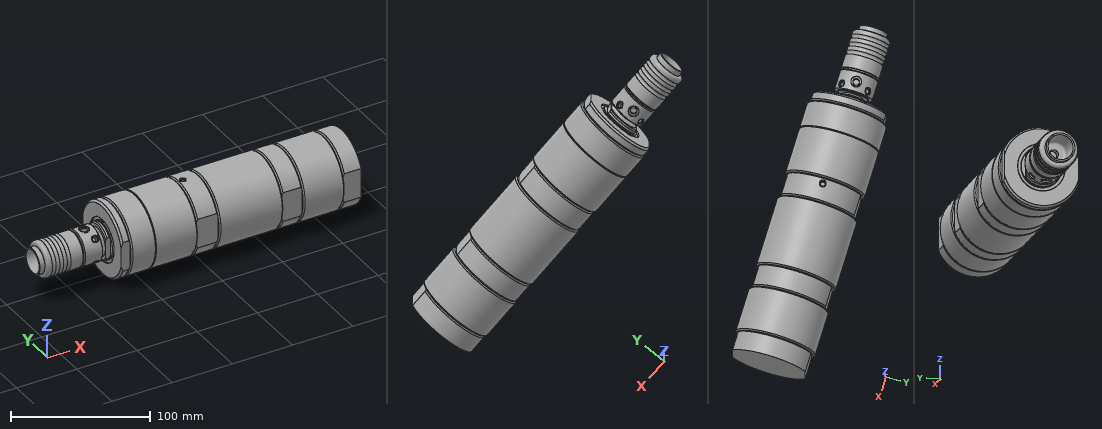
import cadquery as cq

total_length = 257.0

nose_diameter = 21.0
nose_length = 4.0
sleeve_diameter = 28.5
sleeve_end = 49.9
sleeve_front_round = 2.0
grip_groove_start = 8.2
grip_groove_width = 3.0
grip_groove_depth = 0.8
grip_groove_pitch = 2 * grip_groove_width
grip_groove_count = 3
relief_start = 33.7
relief_width = 1.3
relief_depth = 1.5
relief_chamfer = 0.8
shoulder_diameter = 23.1
shoulder_length = 0.8
neck_diameter = 15.0
neck_length = 1.3
cone_end_diameter = 23.1
socket_diameter = 18.5
socket_floor_diameter = 14.0
socket_depth = 20.5
contact_hole_diameter = 6.7
contact_hole_depth = 5.1

collar_start = 53.7
collar_diameter = 30.0
collar_chamfer = 1.0
collar_across_flats = 24.0
recess_diameter = 35.0
recess_depth = 1.3

body_start = 57.5
body_diameter = 60.0
across_flats = 54.7
front_chamfer = 1.5
edge_chamfer = 1.0
barrels = [(65.0, 120.0), (138.0, 191.0), (208.0, 241.8)]
seam_position = 85.0
seam_width = 0.8
seam_depth = 0.3

sleeve_port_position = 42.7
sleeve_port_diameters = (7.7, 5.0)
sleeve_screw_position = 46.3
sleeve_screw_diameters = (5.5, 3.5)
body_port_position = 124.6
body_port_diameters = (5.0, 3.5)
counterbore_depth = 1.3
hole_depth = 4.0

clearance = 2.5


def disc(start, end, diameter):
    """Cylinder on the X axis from start to end."""
    return cq.Workplane("YZ").workplane(offset=start).circle(diameter / 2).extrude(end - start)


def trim_flats(body, width):
    """Trim a body to two flats facing -Y and +Y, the given width apart."""
    return body.intersect(cq.Workplane("XY").box(2 * total_length + 2 * clearance, width, 2 * body_diameter))


def ring_cut(start, width, diameter, depth):
    """Square-sided groove tool around a cylinder of the given diameter."""
    return disc(start, start + width, diameter + clearance).cut(disc(start, start + width, diameter - 2 * depth))


def make_connector():
    """Ribbed coupling sleeve with its nose, neck and cone, as one turned outline."""
    nose_radius = nose_diameter / 2
    radius = sleeve_diameter / 2
    relief_radius = radius - relief_depth
    relief_end = relief_start + relief_width
    shoulder_end = sleeve_end + shoulder_length
    neck_end = shoulder_end + neck_length

    outline = (
        cq.Workplane("XY")
        .lineTo(0, nose_radius)
        .lineTo(nose_length, nose_radius)
        .lineTo(nose_length, radius - sleeve_front_round)
        .radiusArc((nose_length + sleeve_front_round, radius), sleeve_front_round)
    )
    for index in range(grip_groove_count):
        start = grip_groove_start + index * grip_groove_pitch
        outline = outline.lineTo(start, radius).threePointArc(
            (start + grip_groove_width / 2, radius - grip_groove_depth),
            (start + grip_groove_width, radius),
        )
    outline = (
        outline.lineTo(relief_start, radius)
        .lineTo(relief_start, relief_radius)
        .lineTo(relief_end, relief_radius)
        .lineTo(relief_end, radius - relief_chamfer)
        .lineTo(relief_end + relief_chamfer, radius)
        .lineTo(sleeve_end, radius)
        .lineTo(sleeve_end, shoulder_diameter / 2)
        .lineTo(shoulder_end, shoulder_diameter / 2)
        .lineTo(shoulder_end, neck_diameter / 2)
        .lineTo(neck_end, neck_diameter / 2)
        .lineTo(collar_start, cone_end_diameter / 2)
        .lineTo(collar_start, 0)
        .close()
    )
    return outline.revolve(360, (0, 0, 0), (1, 0, 0))


def make_socket():
    """Bore in the connector tip, with a rounded floor and a central contact hole."""
    floor_round = (socket_diameter - socket_floor_diameter) / 2
    bore = disc(0, socket_depth, socket_diameter).faces(">X").edges().fillet(floor_round)
    return bore.union(disc(0, socket_depth + contact_hole_depth, contact_hole_diameter))


def make_collar():
    """Flatted collar in front of the body on a round hub that stands in the body recess."""
    collar = disc(collar_start, body_start, collar_diameter).faces("<X or >X").chamfer(collar_chamfer)
    hub = disc(body_start, body_start + recess_depth, collar_diameter)
    return trim_flats(collar, collar_across_flats).union(hub)


def make_body():
    """Alternating flatted rings and round barrels, with a fine seam and a recess in the front face."""
    ring_starts = [body_start] + [end for _, end in barrels]
    ring_ends = [start for start, _ in barrels] + [total_length]
    body = cq.Workplane("YZ")
    for start, end in zip(ring_starts, ring_ends):
        ring = disc(start, end, body_diameter)
        ring = ring.faces("<X").chamfer(front_chamfer if start == body_start else edge_chamfer)
        if end != total_length:
            ring = ring.faces(">X").chamfer(edge_chamfer)
        body = body.union(trim_flats(ring, across_flats))
    for start, end in barrels:
        body = body.union(disc(start, end, body_diameter).faces("<X or >X").chamfer(edge_chamfer))
    body = body.cut(ring_cut(seam_position - seam_width / 2, seam_width, body_diameter, seam_depth))
    return body.cut(disc(body_start, body_start + recess_depth, recess_diameter))


def radial_hole(position, surface_diameter, diameters, angle):
    """Stepped blind hole tool; the angle is turned about X from +Z."""
    surface = surface_diameter / 2
    tool = cq.Workplane("XY")
    for diameter, depth in zip(diameters, (counterbore_depth, hole_depth)):
        floor = cq.Workplane("XY").workplane(offset=surface - depth).center(position, 0)
        tool = tool.union(floor.circle(diameter / 2).extrude(clearance + depth))
    return tool.rotate((0, 0, 0), (1, 0, 0), angle)


result = make_body().union(make_collar()).union(make_connector()).cut(make_socket())

for angle in (0, 180):
    result = result.cut(radial_hole(sleeve_port_position, sleeve_diameter, sleeve_port_diameters, angle))
for angle in (45, 135, 225, 315):
    result = result.cut(radial_hole(sleeve_screw_position, sleeve_diameter, sleeve_screw_diameters, angle))
result = result.cut(radial_hole(body_port_position, body_diameter, body_port_diameters, 0))